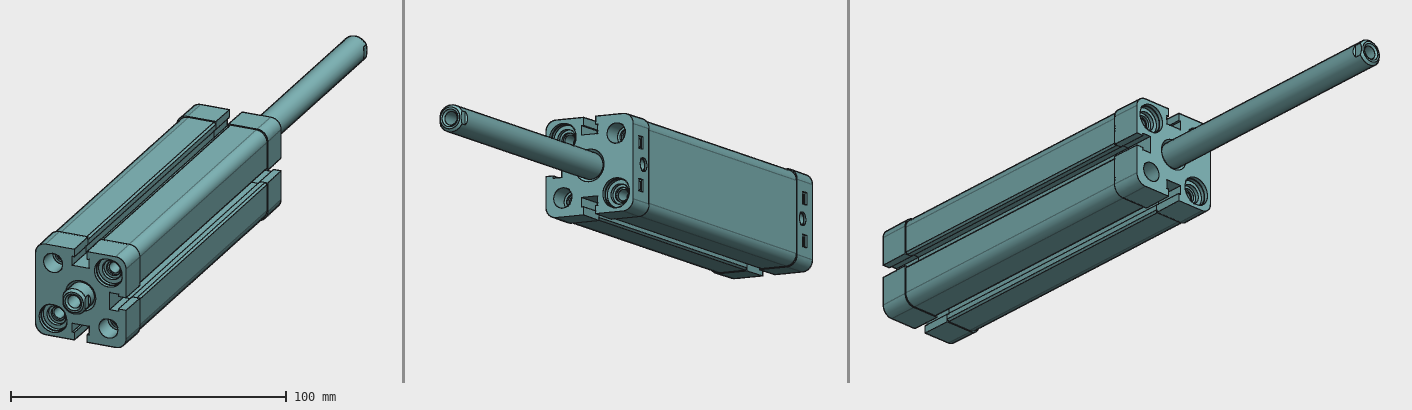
import cadquery as cq
import math

overall_length = 250.0
front_overhang = 6.5
cap_length = 12.0
tube_length = 113.0
body_length = tube_length + 2 * cap_length
rod_tips = (-front_overhang, overall_length - front_overhang)

tube_width = 35.5
cap_width = 36.3
cap_end_width = 36.0
corner_radius = 4.3
bore_diameter = 20.0

slot_mouth_width = 5.0
slot_width = 6.8
slot_depth = 6.3
slot_lip = 2.8
tube_mouth_chamfer = 0.8

rod_diameter = 10.0
rod_chamfer = 1.0
flat_width = 8.8
flat_length = 3.5
flat_runout = 0.8
rod_hole_diameter = 5.0
rod_hole_depth = 10.0
rod_hole_chamfer = 0.8

countersink_diameter = 12.0
countersink_depth = 1.0

hole_spacing = 22.0
recess_diameter = 11.0
recess_step_diameter = 10.5
recess_rim_depth = 1.5
recess_depth = 3.0
recessed_hole_depth = 4.5
hole_diameter = 7.5
hole_depth = 8.0
thread_relief_diameter = 5.5
thread_relief_length = 1.0
thread_core_diameter = 4.3

port_diameter = 5.0
port_core_diameter = 4.3
port_rim_depth = 0.8
port_depth = 3.8
port_distance = 7.8
pocket_distance = 6.0
pocket_spacing = 15.8
pocket_length = 3.0
pocket_height = 4.5
pocket_step = 0.8
pocket_depth = 1.5


def cylinder_along_y(diameter, start, length, x=0.0, z=0.0):
    """Solid cylinder parallel to Y, from Y = start to start + length, either way."""
    return cq.Workplane("XZ", origin=(x, start, z)).circle(diameter / 2).extrude(-length)


def cone_along_y(start_diameter, end_diameter, start, length):
    """Truncated cone on the Y axis; a negative length runs towards -Y."""
    direction = cq.Vector(0, math.copysign(1, length), 0)
    return cq.Workplane(cq.Solid.makeCone(
        start_diameter / 2, end_diameter / 2, abs(length), cq.Vector(0, start, 0), direction))


def rounded_square(width, y):
    return (
        cq.Workplane("XZ", origin=(0, y, 0))
        .sketch().rect(width, width).vertices().fillet(corner_radius).finalize()
    )


def cut_slots(body, start, length, side, mouth_chamfer):
    """Cut three T-slots; side is the distance from the axis to the slotted faces."""
    mouth = slot_mouth_width / 2
    half = slot_width / 2
    flared = mouth + mouth_chamfer
    lip = tube_width / 2 - slot_lip
    floor = tube_width / 2 - slot_depth
    clear = side + slot_depth
    right_half = [(half, floor), (half, lip), (mouth, lip), (mouth, side - mouth_chamfer)]
    if mouth_chamfer:
        right_half.append((flared, side))
    right_half.append((flared, clear))
    left_half = [(-x, z) for x, z in reversed(right_half)]
    outline = cq.Workplane("XZ", origin=(0, start, 0)).polyline(right_half + left_half)
    slot = outline.close().extrude(-length)
    for angle in (0, 90, 180):
        body = body.cut(slot.rotate((0, 0, 0), (0, 1, 0), angle))
    return body


def make_tube():
    tube = rounded_square(tube_width, cap_length).extrude(-tube_length)
    tube = cut_slots(tube, cap_length, tube_length, tube_width / 2, tube_mouth_chamfer)
    return tube.cut(cylinder_along_y(bore_diameter, cap_length, tube_length))


def cut_corner_holes(cap):
    """Stepped holes; those on one diagonal also have a wide recess."""
    offset = hole_spacing / 2
    for x in (-offset, offset):
        for z in (-offset, offset):
            recessed = x == z
            floor = recessed_hole_depth if recessed else hole_depth
            steps = [
                (hole_diameter, floor),
                (thread_relief_diameter, floor + thread_relief_length),
                (thread_core_diameter, cap_length),
            ]
            if recessed:
                steps.append((recess_diameter, recess_rim_depth))
                steps.append((recess_step_diameter, recess_depth))
            for diameter, depth in steps:
                cap = cap.cut(cylinder_along_y(diameter, 0, depth, x, z))
    return cap


def cut_port_and_pockets(cap):
    def side_plane(y, z):
        return cq.Workplane("YZ", origin=(-cap_width / 2, y, z))

    port = side_plane(port_distance, 0)
    cap = cap.cut(port.circle(port_diameter / 2).extrude(port_rim_depth))
    cap = cap.cut(port.circle(port_core_diameter / 2).extrude(port_depth))
    inner_length = pocket_length - 2 * pocket_step
    inner_height = pocket_height - 2 * pocket_step
    for z in (-pocket_spacing / 2, pocket_spacing / 2):
        pocket = side_plane(pocket_distance, z)
        cap = cap.cut(pocket.rect(pocket_length, pocket_height).extrude(pocket_step))
        cap = cap.cut(pocket.rect(inner_length, inner_height).extrude(pocket_depth))
    return cap


def make_front_cap():
    draft = math.degrees(math.atan((cap_width - cap_end_width) / 2 / cap_length))
    cap = rounded_square(cap_width, cap_length).extrude(cap_length, taper=draft)
    cap = cut_slots(cap, 0, cap_length, cap_width / 2, 0)
    cap = cap.cut(cylinder_along_y(rod_diameter, 0, cap_length))
    cap = cap.cut(cone_along_y(countersink_diameter, rod_diameter, 0, countersink_depth))
    cap = cut_corner_holes(cap)
    return cut_port_and_pockets(cap)


def make_rod():
    rod = cylinder_along_y(rod_diameter, -front_overhang, overall_length)
    rod = rod.faces("<Y or >Y").chamfer(rod_chamfer)
    half = flat_width / 2
    mouth_diameter = rod_hole_diameter + 2 * rod_hole_chamfer
    for tip, inward in zip(rod_tips, (1, -1)):
        flat = (
            cq.Workplane("XY", origin=(0, tip, -rod_diameter))
            .moveTo(half, 0)
            .lineTo(half, inward * flat_length)
            .lineTo(rod_diameter / 2, inward * (flat_length + flat_runout))
            .lineTo(rod_diameter, inward * (flat_length + flat_runout))
            .lineTo(rod_diameter, 0)
            .close()
            .extrude(2 * rod_diameter)
        )
        rod = rod.cut(flat).cut(flat.mirror("YZ"))
        rod = rod.cut(cylinder_along_y(rod_hole_diameter, tip, inward * rod_hole_depth))
        rod = rod.cut(cone_along_y(mouth_diameter, rod_hole_diameter, tip, inward * rod_hole_chamfer))
    return rod


tube = make_tube()
front_cap = make_front_cap()
rear_cap = front_cap.mirror("XZ", (0, body_length / 2, 0))
rod = make_rod()
result = cq.Compound.makeCompound([tube.val(), front_cap.val(), rear_cap.val(), rod.val()])